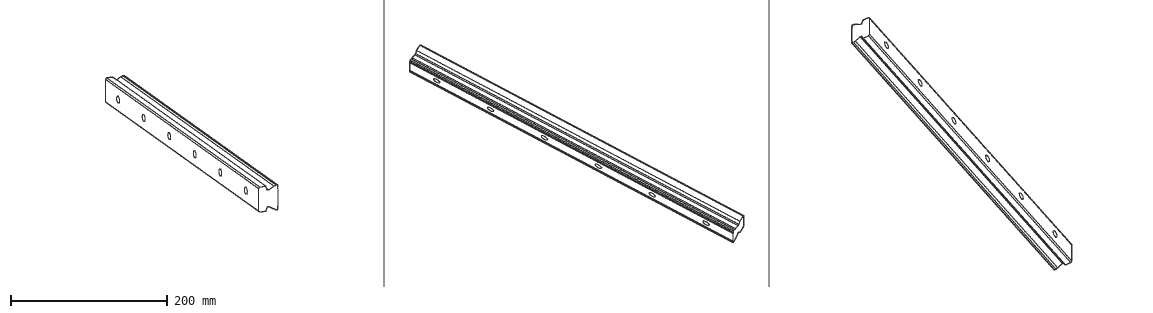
import cadquery as cq
import math

length = 480.0
height = 27.5
width = 34.0
half_width = width / 2
half_height = height / 2

hole_diameter = 9.0
hole_pitch = 80.0
hole_count = 6

base_chamfer = 1.8
base_shoulder_y = -3.5
wall_bottom_y = -1.4

valley_half_width = 11.5
valley_end_y = 0.7
flank_angle = 30.0

head_chamfer = 1.3
lower_raceway_start_y = 10.3
lower_raceway_end_y = 7.8
lower_raceway_sag = 0.5
upper_raceway_center_z = 13.3
upper_raceway_width = 3.0
upper_raceway_depth = 0.8


def side_valley(side):
    """Prism removed between base and head on one side (+1 or -1 along Z)."""
    flank_rise = (lower_raceway_end_y - valley_end_y) * math.tan(math.radians(flank_angle))
    raceway_end = (lower_raceway_end_y, valley_half_width + flank_rise)
    raceway_start = (lower_raceway_start_y, half_width)
    run = raceway_start[0] - raceway_end[0]
    rise = raceway_start[1] - raceway_end[1]
    chord = math.hypot(run, rise)
    raceway_middle = (
        (raceway_start[0] + raceway_end[0]) / 2 + lower_raceway_sag * rise / chord,
        (raceway_start[1] + raceway_end[1]) / 2 - lower_raceway_sag * run / chord,
    )
    outline = [
        (base_shoulder_y, half_width),
        (wall_bottom_y, valley_half_width),
        (valley_end_y, valley_half_width),
        raceway_end,
        raceway_middle,
        raceway_start,
    ]
    shoulder, wall_foot, valley_end, arc_start, arc_middle, arc_end = [
        (y, side * z) for y, z in outline
    ]
    return (
        cq.Workplane("YZ", origin=(-length / 2, 0, 0))
        .moveTo(*shoulder)
        .lineTo(*wall_foot)
        .lineTo(*valley_end)
        .lineTo(*arc_start)
        .threePointArc(arc_middle, arc_end)
        .close()
        .extrude(length)
    )


def upper_raceway(side):
    """Shallow round groove in the +Y face near one edge (+1 or -1 along Z)."""
    half_chord = upper_raceway_width / 2
    radius = (half_chord**2 + upper_raceway_depth**2) / (2 * upper_raceway_depth)
    center_y = half_height + radius - upper_raceway_depth
    return (
        cq.Workplane("YZ", origin=(-length / 2, 0, 0))
        .center(center_y, side * upper_raceway_center_z)
        .circle(radius)
        .extrude(length)
    )


def mounting_holes():
    """Row of plain holes through the full height of the rail."""
    return (
        cq.Workplane("XZ", origin=(0, half_height, 0))
        .rarray(hole_pitch, 1, hole_count, 1)
        .circle(hole_diameter / 2)
        .extrude(height)
    )


rail = cq.Workplane("XY").box(length, height, width)
rail = rail.edges("|X and <Y").chamfer(base_chamfer)
rail = rail.edges("|X and >Y").chamfer(head_chamfer)
for side in (1, -1):
    rail = rail.cut(side_valley(side))
    rail = rail.cut(upper_raceway(side))

result = rail.cut(mounting_holes())